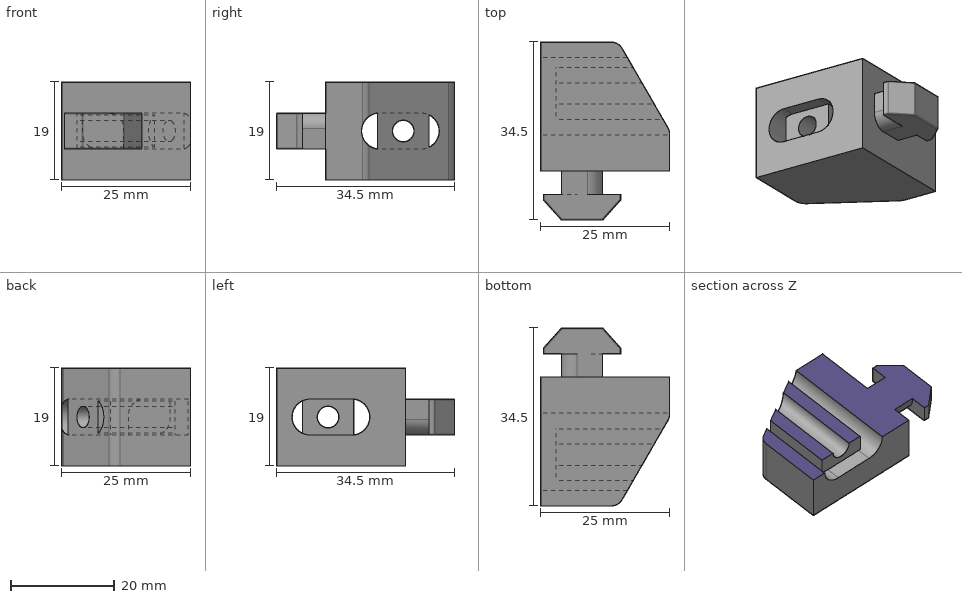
import cadquery as cq
import math

block_side = 25.0
block_height = 19.0
overall_depth = 34.5
slope_drop = 17.18
slope_angle = 60.0
corner_radius = 2.5

slot_length = 15.0
slot_width = 6.97
slot_center_y = 14.5
bridge_width = 10.0
bridge_center_y = 15.05
bridge_recess = 3.0
bridge_hole_diameter = 4.15

key_center_x = 8.05
stem_width = 8.0
stem_radius = 3.0
head_width = 15.0
head_thickness = 5.0
head_side_thickness = 1.1
key_height = slot_width
edge_radius = 0.2

key_length = overall_depth - block_side
stem_length = key_length - head_thickness
mid_z = block_height / 2


def make_block():
    slope_run = slope_drop / math.tan(math.radians(slope_angle))
    outline = [
        (0, 0),
        (block_side, 0),
        (block_side, block_side - slope_drop),
        (block_side - slope_run, block_side),
        (0, block_side),
    ]
    block = cq.Workplane("XY").polyline(outline).close().extrude(block_height)
    block = block.edges("|Z and (not <X) and (not <Y)").fillet(corner_radius)

    slot = (
        cq.Workplane("YZ")
        .center(slot_center_y, mid_z)
        .slot2D(slot_length, slot_width)
        .extrude(block_side)
    )
    bridge = (
        cq.Workplane("YZ", origin=(bridge_recess, bridge_center_y, mid_z))
        .rect(bridge_width, slot_width)
        .extrude(block_side - bridge_recess)
    )
    hole = (
        cq.Workplane("YZ", origin=(0, bridge_center_y, mid_z))
        .circle(bridge_hole_diameter / 2)
        .extrude(block_side)
    )
    return block.cut(slot.cut(bridge)).cut(hole)


def make_stem():
    stem = (
        cq.Workplane("XZ", origin=(key_center_x, 0, mid_z))
        .rect(stem_width, key_height)
        .extrude(stem_length)
    )
    stem = stem.edges("|Y and >X").edges(">Z").fillet(stem_radius)
    return stem.edges("|Y and <X").edges("<Z").fillet(stem_radius)


def make_head():
    back_y = -stem_length
    shoulder_y = back_y - head_side_thickness
    half_head = head_width / 2
    half_nose = stem_width / 2
    outline = [
        (key_center_x - half_head, back_y),
        (key_center_x - half_head, shoulder_y),
        (key_center_x - half_nose, -key_length),
        (key_center_x + half_nose, -key_length),
        (key_center_x + half_head, shoulder_y),
        (key_center_x + half_head, back_y),
    ]
    head = (
        cq.Workplane("XY", origin=(0, 0, mid_z - key_height / 2))
        .polyline(outline)
        .close()
        .extrude(key_height)
    )
    return head.edges("not >Y").fillet(edge_radius)


result = make_block().union(make_stem()).union(make_head())